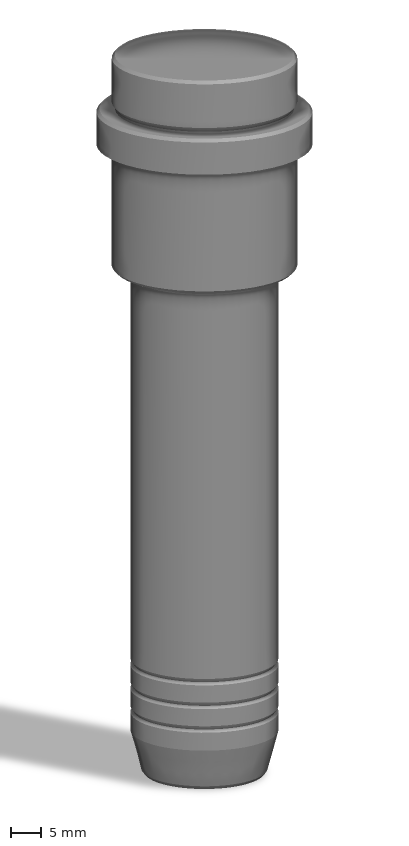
import cadquery as cq
import math

total_length = 121.0
head_radius = 15.0
flange_diameter = 35.0
flange_radius = flange_diameter / 2
shank_radius = 12.0
edge_chamfer = 0.5

head_bottom = 113.1
flange_top = 111.9
flange_bottom = 106.0
body_top = 105.3
body_bottom = 85.1

undercut_depth = 0.55
head_flare_height = 0.79
body_flare_height = 0.3

relief_height = 1.0
relief_depth = 0.5

taper_height = 7.1
taper_angle = 15.0
tip_break_height = 0.6
tip_break_depth = 0.5

groove_count = 3
groove_pitch = 4.0
first_groove_bottom = 10.2
groove_width = 1.1
groove_depth = 0.44
groove_floor_rise = 0.42


def cylinder(radius, bottom, top):
    """Solid cylinder on the Z axis between two levels."""
    return cq.Workplane("XY").workplane(offset=bottom).circle(radius).extrude(top - bottom)


def revolve_about_axis(section):
    """Turn a closed (radius, level) section about the Z axis."""
    return cq.Workplane("XZ").polyline(section).close().revolve(360, (0, 0, 0), (0, 1, 0))


def make_ring_groove(bottom):
    """Ring that cuts a V-groove into the shank, starting at the given level."""
    section = [
        (shank_radius, bottom),
        (shank_radius, bottom + groove_width),
        (shank_radius - groove_depth, bottom + groove_floor_rise),
    ]
    return revolve_about_axis(section)


def make_head():
    """Chamfered disc above the flange, tapering in to a thin neck at its foot."""
    neck_radius = head_radius - undercut_depth
    section = [
        (0, flange_top),
        (neck_radius, flange_top),
        (neck_radius, head_bottom - head_flare_height),
        (head_radius, head_bottom),
        (head_radius, total_length - edge_chamfer),
        (head_radius - edge_chamfer, total_length),
        (0, total_length),
    ]
    return revolve_about_axis(section)


def make_flange():
    """Wide collar, chamfered on its upper rim."""
    return cylinder(flange_radius, flange_bottom, flange_top).faces(">Z").edges().chamfer(edge_chamfer)


def make_body():
    """Fitting diameter below the flange, its upper end tapering in to a thin neck."""
    neck_radius = head_radius - undercut_depth
    section = [
        (0, body_bottom),
        (head_radius - edge_chamfer, body_bottom),
        (head_radius, body_bottom + edge_chamfer),
        (head_radius, body_top),
        (neck_radius, body_top + body_flare_height),
        (neck_radius, flange_bottom),
        (0, flange_bottom),
    ]
    return revolve_about_axis(section)


def make_shank():
    """Long pin with a relief at the top, ring grooves and a tapered tip."""
    relief_bottom = body_bottom - relief_height
    taper_run = taper_height - tip_break_height
    break_radius = shank_radius - taper_run * math.tan(math.radians(taper_angle))
    section = [
        (0, 0),
        (break_radius - tip_break_depth, 0),
        (break_radius, tip_break_height),
        (shank_radius, taper_height),
        (shank_radius, relief_bottom),
        (shank_radius - relief_depth, relief_bottom),
        (shank_radius - relief_depth, body_bottom),
        (0, body_bottom),
    ]
    shank = revolve_about_axis(section)
    for index in range(groove_count):
        bottom = first_groove_bottom + index * groove_pitch
        shank = shank.cut(make_ring_groove(bottom))
    return shank


result = make_shank().union(make_body()).union(make_flange()).union(make_head())